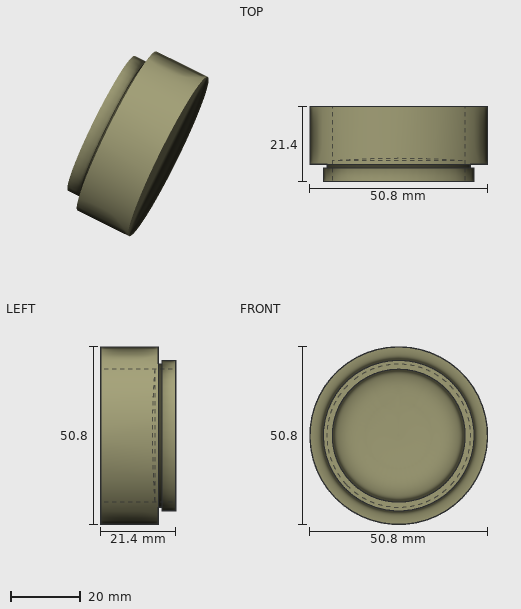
import cadquery as cq

barrel_diameter = 50.8
barrel_length = 16.5
rim_diameter = 43.05
rim_length = 3.95
groove_diameter = 41.0
groove_width = 1.0
bore_diameter = 38.0

lens_setback = 6.0
lens_sag = 0.7

groove_start = rim_length
barrel_start = groove_start + groove_width
rear_face = barrel_start + barrel_length

bore_radius = bore_diameter / 2


def revolve_about_y(half_section):
    """Turn a closed half section, drawn in the YZ plane, into a solid around the Y axis."""
    return half_section.revolve(360, (0, 0), (1, 0))


def make_housing():
    """Turned ring: rim, groove and barrel around one straight through bore."""
    rim_radius = rim_diameter / 2
    groove_radius = groove_diameter / 2
    barrel_radius = barrel_diameter / 2
    half_section = (
        cq.Workplane("YZ")
        .moveTo(0, bore_radius)
        .lineTo(0, rim_radius)
        .lineTo(groove_start, rim_radius)
        .lineTo(groove_start, groove_radius)
        .lineTo(barrel_start, groove_radius)
        .lineTo(barrel_start, barrel_radius)
        .lineTo(rear_face, barrel_radius)
        .lineTo(rear_face, bore_radius)
        .close()
    )
    return revolve_about_y(half_section)


def make_lens():
    """Plano-concave lens: spherical hollow in front, flat at the rear."""
    sphere_radius = (bore_radius**2 + lens_sag**2) / (2 * lens_sag)
    hollow_bottom = lens_setback + lens_sag
    half_section = (
        cq.Workplane("YZ")
        .moveTo(hollow_bottom, 0)
        .radiusArc((lens_setback, bore_radius), -sphere_radius)
        .lineTo(rear_face, bore_radius)
        .lineTo(rear_face, 0)
        .close()
    )
    return revolve_about_y(half_section)


housing = make_housing()
lens = make_lens()

result = cq.Compound.makeCompound([housing.val(), lens.val()])